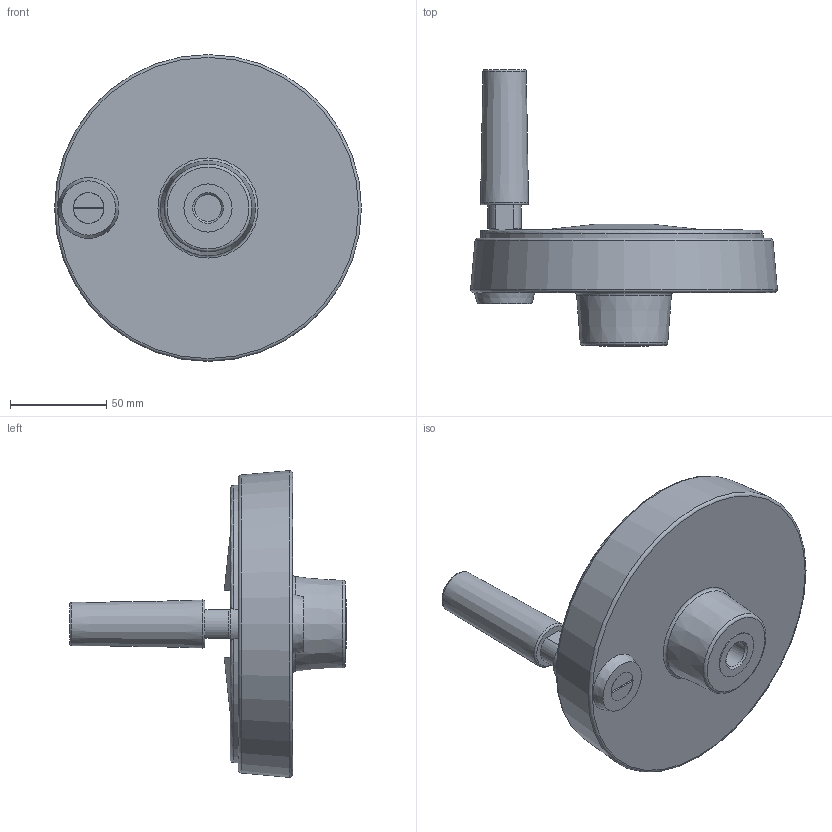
import cadquery as cq


disc_front_radius = 79.94
disc_back_radius = 77.4
disc_thickness = 28.2
disc_edge_fillet = 1.5

plate_radius = 72.3
plate_height = 4.3
plate_fillet = 2.0
plate_back = disc_thickness + plate_height

dome_radius = 46.0
dome_rise = 4.0
channel_width = 34.8

hub_length = 27.5
hub_base_radius = 24.75
hub_tip_radius = 22.65
hub_base_fillet = 1.4
hub_tip_fillet = 1.5
bushing_diameter = 25.0
bushing_protrusion = 0.5
bore_diameter = 14.0
bore_mouth_diameter = 16.0
bore_chamfer = (bore_mouth_diameter - bore_diameter) / 2
bore_depth = 45.0

handle_x = -62.1
knob_base_radius = 15.8
knob_tip_radius = 14.1
knob_height = 5.8
pin_diameter = 16.0
pin_recess = 0.1
slot_width = 1.0
slot_depth = 1.0
seat_diameter = 25.0

neck_diameter = 17.5
neck_flat_width = 15.0
neck_length = 13.1
neck_chamfer = 0.8
grip_base_diameter = 25.0
grip_tip_diameter = 22.5
grip_fillet = 1.0
total_length = 144.0
grip_base = plate_back + neck_length
grip_tip = total_length - hub_length - bushing_protrusion


def cone(x, y_start, y_end, start_radius, end_radius):
    """Solid of revolution about the line parallel to Y through (x, 0)."""
    profile = [(x, y_start), (x + start_radius, y_start), (x + end_radius, y_end), (x, y_end)]
    return cq.Workplane("XY").polyline(profile).close().revolve(360, (x, 0), (x, 1))


def cylinder(x, y_start, y_end, diameter):
    """Round bar parallel to Y through (x, 0)."""
    base = cq.Workplane("XZ", origin=(x, y_end, 0))
    return base.circle(diameter / 2).extrude(y_end - y_start)


def make_disc():
    disc = cone(0, 0, disc_thickness, disc_front_radius, disc_back_radius)
    disc = disc.edges("%CIRCLE").fillet(disc_edge_fillet)
    plate = cylinder(0, disc_thickness, plate_back, 2 * plate_radius)
    return disc.union(plate.faces(">Y").edges().fillet(plate_fillet))


def make_dome():
    sphere_radius = (dome_radius**2 + dome_rise**2) / (2 * dome_rise)
    sphere_centre = plate_back + dome_rise - sphere_radius
    sphere = cq.Workplane("XY").sphere(sphere_radius).translate((0, sphere_centre, 0))
    dome = sphere.intersect(cylinder(0, disc_thickness, plate_back + dome_rise, 2 * dome_radius))
    channel = cq.Workplane("XY").box(2 * dome_radius, 2 * dome_rise, channel_width)
    return dome.cut(channel.translate((0, plate_back + dome_rise, 0)))


def add_hub(wheel):
    hub = cone(0, -hub_length, 0, hub_tip_radius, hub_base_radius)
    hub = hub.faces("<Y").edges().fillet(hub_tip_fillet)
    wheel = wheel.union(hub)
    reach = hub_base_radius + hub_base_fillet
    low_corner = (-reach, -hub_base_fillet, -reach)
    high_corner = (reach, hub_base_fillet, reach)
    base_edge = cq.selectors.BoxSelector(low_corner, high_corner, boundingbox=True)
    return wheel.edges(base_edge).fillet(hub_base_fillet)


def make_bushing():
    return cylinder(0, -hub_length - bushing_protrusion, 0, bushing_diameter)


def make_bore():
    mouth = -hub_length - bushing_protrusion
    bore = cylinder(0, mouth, mouth + bore_depth, bore_diameter)
    chamfer = cone(0, mouth, mouth + bore_chamfer, bore_mouth_diameter / 2, bore_diameter / 2)
    return bore.union(chamfer)


def make_knob():
    return cone(handle_x, -knob_height, 0, knob_tip_radius, knob_base_radius)


def make_pin_recess():
    """Shallow round recess down to the pin end, with the screwdriver slot across it."""
    pin_end = -knob_height + pin_recess
    recess = cylinder(handle_x, -knob_height, pin_end, pin_diameter)
    bar = cq.Workplane("XY").box(pin_diameter, slot_depth, slot_width)
    bar = bar.translate((handle_x, pin_end + slot_depth / 2, 0))
    return recess.union(bar.intersect(cylinder(handle_x, pin_end, 0, pin_diameter)))


def make_handle():
    seat = cylinder(handle_x, disc_thickness, plate_back, seat_diameter)
    neck = cylinder(handle_x, plate_back, grip_base, neck_diameter)
    neck = neck.faces("<Y").edges().chamfer(neck_chamfer)
    flats = cq.Workplane("XY").box(neck_diameter, neck_length, neck_flat_width)
    neck = neck.intersect(flats.translate((handle_x, plate_back + neck_length / 2, 0)))
    grip = cone(handle_x, grip_base, grip_tip, grip_base_diameter / 2, grip_tip_diameter / 2)
    grip = grip.edges("%CIRCLE").fillet(grip_fillet)
    return seat.union(neck).union(grip)


wheel = add_hub(make_disc()).union(make_dome()).union(make_bushing())
result = wheel.union(make_knob()).union(make_handle())
result = result.cut(make_bore()).cut(make_pin_recess())